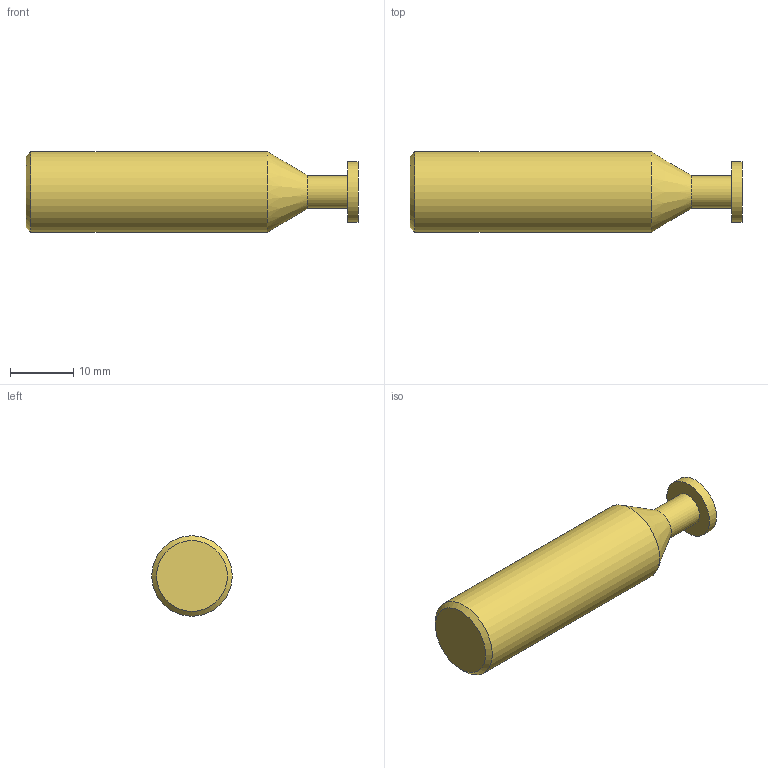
import cadquery as cq

INCH = 25.4

shank_diameter = INCH / 2
shank_length = 1.5 * INCH
shank_chamfer = 0.03 * INCH

taper_length = INCH / 4

neck_diameter = 13 / 64 * INCH
neck_length = INCH / 4

head_diameter = 3 / 8 * INCH
head_thickness = INCH / 16

taper_start = shank_length
neck_start = taper_start + taper_length
head_start = neck_start + neck_length
head_end = head_start + head_thickness

shank_radius = shank_diameter / 2
neck_radius = neck_diameter / 2
head_radius = head_diameter / 2


def half_profile():
    """Closed outline of the upper half section, with Z as the radius."""
    return (
        cq.Workplane("XZ")
        .moveTo(0, 0)
        .lineTo(0, shank_radius - shank_chamfer)
        .lineTo(shank_chamfer, shank_radius)
        .lineTo(taper_start, shank_radius)
        .lineTo(neck_start, neck_radius)
        .lineTo(head_start, neck_radius)
        .lineTo(head_start, head_radius)
        .lineTo(head_end, head_radius)
        .lineTo(head_end, 0)
        .close()
    )


result = half_profile().revolve(360, (0, 0, 0), (1, 0, 0))